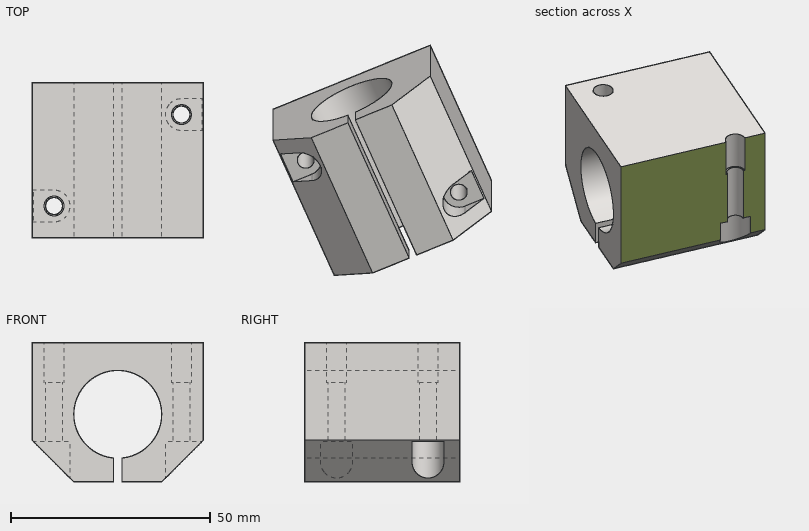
import cadquery as cq

width = 43.0
depth = 39.0
height = 35.0
corner_chamfer = 10.5

bore_diameter = 22.0
bore_height = 17.0
slit_width = 2.0

hole_x = 16.0
hole_y = 11.5
hole_diameter = 4.2
hole_mouth_diameter = 5.0
hole_mouth_depth = 10.0

recess_width = 8.0
recess_top = 10.15


def make_block():
    block = cq.Workplane("XY").box(width, depth, height, centered=(True, True, False))
    return block.faces("<Z").edges("|Y").chamfer(corner_chamfer)


def make_bore_and_slit():
    bore = (
        cq.Workplane("XZ")
        .center(0, bore_height)
        .circle(bore_diameter / 2)
        .extrude(depth / 2, both=True)
    )
    slit = cq.Workplane("XY").box(slit_width, depth, bore_height, centered=(True, True, False))
    return bore.union(slit)


def make_mounting_hole(side):
    """Hole, counterbored mouth and U-shaped recess; side is +1 or -1 along X and Y."""
    x = side * hole_x
    y = side * hole_y
    hole = cq.Workplane("XY").center(x, y).circle(hole_diameter / 2).extrude(height)
    mouth = (
        cq.Workplane("XY", origin=(x, y, height))
        .circle(hole_mouth_diameter / 2)
        .extrude(-hole_mouth_depth)
    )
    recess_end = cq.Workplane("XY").center(x, y).circle(recess_width / 2).extrude(recess_top)
    run_out = width / 2 - hole_x
    recess_run = (
        cq.Workplane("XY")
        .center(x + side * run_out / 2, y)
        .rect(run_out, recess_width)
        .extrude(recess_top)
    )
    return hole.union(mouth).union(recess_end).union(recess_run)


result = make_block().cut(make_bore_and_slit())
for side in (-1, 1):
    result = result.cut(make_mounting_hole(side))